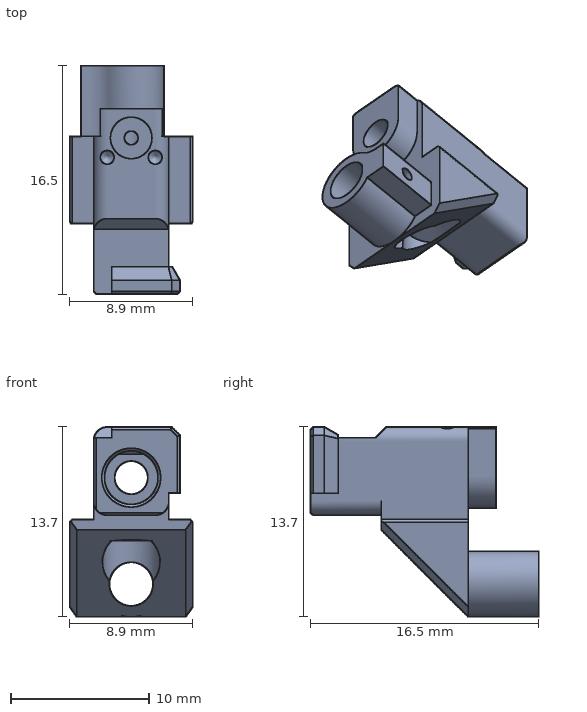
import cadquery as cq
import math

length = 16.5
height = 13.73

body_half_width = 2.72
body_fillet = 1.0
barrel_z = 10.06
body_bottom = barrel_z - body_half_width
front_chamfer = 0.2

foot_width = 8.9
foot_front = 5.1
foot_back = 11.4
foot_top = 7.05
foot_front_bottom = foot_back - foot_front
foot_slope_chamfer = 0.51
foot_top_chamfer = 0.2

lug_back = 13.4
lug_radius = 2.23

roof_z = 12.95
roof_end = 4.69

lip_left = -1.42
lip_right = 3.53
lip_bottom = 8.95
lip_corner = 0.61
lip_land_end = 1.0
lip_back = 2.0
lip_taper = (lip_back - lip_land_end) * math.tan(math.radians(30))

tail_radius = 2.38
tail_z = tail_radius
tail_flat_half_height = 1.24
tail_left = -3.63
tail_blend = 2.0
tail_bore_radius = 1.57
tail_pin_y = 13.98
pin_diameter = 0.99

barrel_radius = 1.93
barrel_depth = 8.0
barrel_mouth_chamfer = 0.2
barrel_exit_radius = 1.19
barrel_ramp_z = 11.75

magnet_y = 11.29
magnet_diameter = 3.0
magnet_depth = 0.81
socket_x = 1.73
socket_y = 9.88
socket_depth = 0.99
drill_half_angle = math.radians(59)

pocket_radius = 2.08
pocket_y = 7.42
pocket_roof_z = 5.5
pocket_dome = 0.4


def box(x_range, y_range, z_range):
    """Box between the given limits along X, Y and Z."""
    sizes = [high - low for low, high in (x_range, y_range, z_range)]
    corner = (x_range[0], y_range[0], z_range[0])
    return cq.Workplane("XY").box(*sizes, centered=False).translate(corner)


def section(y):
    """Workplane facing the front, with local axes X and Z, at depth y."""
    return cq.Workplane("XZ", origin=(0, y, 0))


def rod(y_start, y_end, z, radius):
    """Cylinder along Y in the middle plane."""
    return section(y_start).center(0, z).circle(radius).extrude(y_start - y_end)


def side_prism(points, half_width):
    """Outline in Y and Z, extruded to both sides of the middle plane."""
    return cq.Workplane("YZ").polyline(points).close().extrude(half_width, both=True)


def make_housing():
    body_sides = (-body_half_width, body_half_width)
    limits = (body_sides, (0, lug_back), (body_bottom, height))
    rounded = box(*limits).edges("|Y").fillet(body_fillet)
    bevelled = box(*limits).faces("<Y").edges("<X or <Z").chamfer(front_chamfer)
    housing = rounded.intersect(bevelled)

    lug_sides = (-lug_radius, lug_radius)
    lug = box(lug_sides, (foot_back, lug_back), (barrel_z, height))
    lug = lug.union(rod(foot_back, lug_back, barrel_z, lug_radius))
    front_part = box(body_sides, (0, foot_back), (body_bottom, height))
    housing = housing.intersect(front_part.union(lug))

    drop = height - roof_z
    roof_cut = [(0, roof_z), (roof_end, roof_z), (roof_end + drop, height), (0, height)]
    return housing.cut(side_prism(roof_cut, body_half_width))


def make_foot():
    outline = [
        (foot_front, foot_top),
        (foot_front, foot_front_bottom),
        (foot_back, 0),
        (foot_back, foot_top),
    ]
    foot = side_prism(outline, foot_width / 2)
    underside = cq.selectors.DirectionMinMaxSelector(cq.Vector(0, -1, -1))
    foot = foot.faces(underside).edges("<X or >X").chamfer(foot_slope_chamfer)
    foot = foot.faces(">Z").edges("<X or >X").chamfer(foot_top_chamfer)
    web_sides = (-body_half_width, body_half_width)
    return foot.union(box(web_sides, (foot_front, foot_back), (foot_top, barrel_z)))


def lip_outline(y, inset):
    """Closed lip outline at depth y, with its top and right edges moved inwards."""
    top = height - inset
    right = lip_right - inset
    corner = lip_corner - inset * (2 - math.sqrt(2))
    points = [
        (lip_left, lip_bottom),
        (lip_left, top),
        (right - corner, top),
        (right, top - corner),
        (right, lip_bottom),
    ]
    return cq.Wire.makePolygon([cq.Vector(x, y, z) for x, z in points], close=True)


def make_lip():
    stations = [(0, front_chamfer), (front_chamfer, 0), (lip_land_end, 0), (lip_back, lip_taper)]
    wires = [lip_outline(y, inset) for y, inset in stations]
    return cq.Workplane(cq.Solid.makeLoft(wires, True))


def make_tail():
    tail = rod(foot_back, length, tail_z, tail_radius)
    flat_top = tail_z + tail_flat_half_height
    flat_bottom = tail_z - tail_flat_half_height
    blend_z = flat_top + tail_blend
    reach = tail_radius + tail_blend
    blend_x = -math.sqrt(reach**2 - (blend_z - tail_z) ** 2)
    share = tail_radius / reach
    touch = (blend_x * share, tail_z + (blend_z - tail_z) * share)
    mid_angle = (math.atan2(touch[1] - blend_z, touch[0] - blend_x) - math.pi / 2) / 2
    blend_middle = (
        blend_x + tail_blend * math.cos(mid_angle),
        blend_z + tail_blend * math.sin(mid_angle),
    )
    flange = (
        section(foot_back)
        .moveTo(0, flat_bottom)
        .lineTo(tail_left, flat_bottom)
        .lineTo(tail_left, flat_top)
        .lineTo(blend_x, flat_top)
        .threePointArc(blend_middle, touch)
        .lineTo(0, tail_z)
        .close()
        .extrude(foot_back - length)
    )
    return tail.union(flange)


def make_barrel_bore():
    bore = rod(0, barrel_depth, barrel_z, barrel_radius)
    ramp_rise = barrel_z + barrel_radius - barrel_ramp_z
    ramp = [
        (barrel_depth, barrel_ramp_z),
        (barrel_depth - ramp_rise, barrel_ramp_z + ramp_rise),
        (barrel_depth, barrel_ramp_z + ramp_rise),
    ]
    bore = bore.cut(side_prism(ramp, barrel_radius))
    mouth = cq.Solid.makeCone(
        barrel_radius + barrel_mouth_chamfer,
        barrel_radius,
        barrel_mouth_chamfer,
        pnt=cq.Vector(0, 0, barrel_z),
        dir=cq.Vector(0, 1, 0),
    )
    return bore.union(cq.Workplane(mouth)).union(rod(0, lug_back, barrel_z, barrel_exit_radius))


def make_drilled_socket(x):
    """Blind hole with a drill point, sunk from the roof."""
    radius = pin_diameter / 2
    tip = socket_depth + radius / math.tan(drill_half_angle)
    profile = [(0, 0), (radius, 0), (radius, -socket_depth), (0, -tip)]
    socket = cq.Workplane("XZ").polyline(profile).close().revolve(360, (0, 0), (0, 1))
    return socket.translate((x, socket_y, height))


def make_magnet_seat():
    top = cq.Workplane("XY", origin=(0, magnet_y, height))
    seat = top.circle(magnet_diameter / 2).extrude(-magnet_depth)
    return seat.union(top.circle(pin_diameter / 2).extrude(barrel_z - height))


def make_slope_pocket():
    """Upright round pocket with a shallow conical roof."""
    profile = [
        (0, 0),
        (pocket_radius, 0),
        (pocket_radius, pocket_roof_z),
        (0, pocket_roof_z + pocket_dome),
    ]
    pocket = cq.Workplane("XZ").polyline(profile).close().revolve(360, (0, 0), (0, 1))
    return pocket.translate((0, pocket_y, 0))


def make_tail_pin_hole():
    start = cq.Workplane("YZ", origin=(tail_left, tail_pin_y, tail_z))
    return start.circle(pin_diameter / 2).extrude(-tail_left)


result = make_housing().union(make_foot()).union(make_lip()).union(make_tail())
result = result.cut(make_barrel_bore()).cut(make_magnet_seat())
for side in (-1, 1):
    result = result.cut(make_drilled_socket(side * socket_x))
result = result.cut(make_slope_pocket())
result = result.cut(rod(foot_front, length, tail_z, tail_bore_radius)).cut(make_tail_pin_hole())